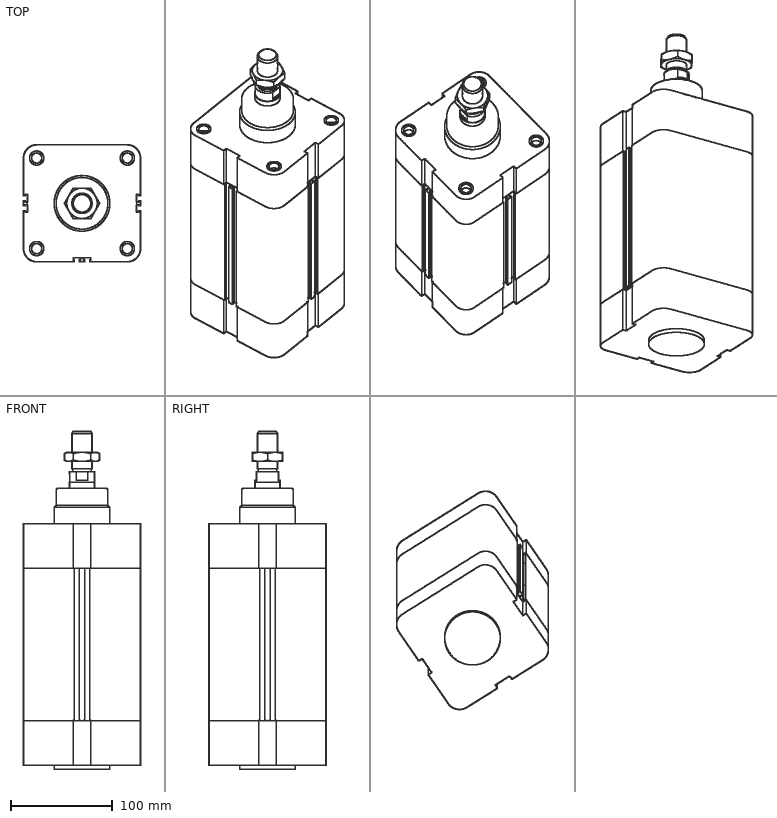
import cadquery as cq
import math

BODY_WIDTH = 115.5
CORNER_RADIUS = 13.3
CAP_LENGTH = 44.0
BARREL_LENGTH = 150.2

BOSS_DIAMETER = 55.0
REAR_BOSS_HEIGHT = 4.0
FRONT_BOSS_HEIGHT = 16.0
NECK_DIAMETER = 51.0
NECK_TOP_HEIGHT = 35.0
NECK_ROUND = 2.0
BOSS_CHAMFER = (BOSS_DIAMETER - NECK_DIAMETER) / 2

GROOVE_ANGLES = (0, 90, 180)
GROOVE_WIDTH = 17.0
GROOVE_DEPTH = 4.0
GROOVE_LIP = 1.0
LIP_THICKNESS = 2.0
RIB_HEAD_WIDTH = 5.0
RIB_STEM_WIDTH = 3.0

HOLE_OFFSET = 44.5
HOLE_DIAMETER = 10.0
HOLE_DEPTH = 6.5
DRILL_POINT_ANGLE = 118
COUNTERBORE_DIAMETER = 14.0
COUNTERBORE_DEPTH = 0.3

ROD_TIP_Z = 333.0
ROD_DIAMETER = 25.0
SHOULDER_DIAMETER = 24.5
THREAD_DIAMETER = 20.0
UNDERCUT_DIAMETER = 18.5
TIP_CHAMFER_RADIAL = 1.3
TIP_CHAMFER_LENGTH = 2.3
THREAD_LENGTH = 36.5
UNDERCUT_LENGTH = 3.0
SHOULDER_LENGTH = 10.3
SHOULDER_STEP_LENGTH = 0.3
FLAT_LENGTH = 8.5
FLATS_ACROSS = 22.0

NUT_ACROSS_FLATS = 30.0
NUT_HEIGHT = 9.0
NUT_TOP_FROM_TIP = 20.5
NUT_CHAMFER_DIAMETER = 30.0
NUT_CHAMFER_ANGLE = 30

BODY_BOTTOM_Z = REAR_BOSS_HEIGHT
BARREL_BOTTOM_Z = BODY_BOTTOM_Z + CAP_LENGTH
BARREL_TOP_Z = BARREL_BOTTOM_Z + BARREL_LENGTH
BODY_TOP_Z = BARREL_TOP_Z + CAP_LENGTH
THREAD_BOTTOM_Z = ROD_TIP_Z - THREAD_LENGTH
SHOULDER_TOP_Z = THREAD_BOTTOM_Z - UNDERCUT_LENGTH
SHOULDER_BOTTOM_Z = SHOULDER_TOP_Z - SHOULDER_LENGTH
NUT_BOTTOM_Z = ROD_TIP_Z - NUT_TOP_FROM_TIP - NUT_HEIGHT


def cylinder(diameter, bottom_z, height):
    return cq.Workplane("XY").workplane(offset=bottom_z).circle(diameter / 2).extrude(height)


def rounded_block(bottom_z, height):
    block = cq.Workplane("XY").workplane(offset=bottom_z).rect(BODY_WIDTH, BODY_WIDTH).extrude(height)
    return block.edges("|Z").fillet(CORNER_RADIUS)


def side_strip(outer_depth, inner_depth, width, bottom_z, height):
    """Upright strip on the +X side, between two depths below the side face."""
    middle_x = (BODY_WIDTH - outer_depth - inner_depth) / 2
    return (
        cq.Workplane("XY")
        .workplane(offset=bottom_z)
        .center(middle_x, 0)
        .rect(inner_depth - outer_depth, width)
        .extrude(height)
    )


def plain_groove(bottom_z, height):
    return side_strip(0, GROOVE_DEPTH, GROOVE_WIDTH, bottom_z, height)


def t_groove(bottom_z, height):
    """Groove with overhanging lips, leaving a T-shaped rib along its middle."""
    mouth = side_strip(0, LIP_THICKNESS, GROOVE_WIDTH - 2 * GROOVE_LIP, bottom_z, height)
    pocket = side_strip(LIP_THICKNESS, GROOVE_DEPTH, GROOVE_WIDTH, bottom_z, height)
    rib_head = side_strip(0, LIP_THICKNESS, RIB_HEAD_WIDTH, bottom_z, height)
    rib_stem = side_strip(LIP_THICKNESS, GROOVE_DEPTH, RIB_STEM_WIDTH, bottom_z, height)
    return mouth.union(pocket).cut(rib_head).cut(rib_stem)


def cut_on_grooved_sides(block, groove):
    for angle in GROOVE_ANGLES:
        block = block.cut(groove.rotate((0, 0, 0), (0, 0, 1), -angle))
    return block


def mounting_hole():
    """Blind hole with a drill point and counterbore, opening upward at Z = 0."""
    radius = HOLE_DIAMETER / 2
    point_depth = radius / math.tan(math.radians(DRILL_POINT_ANGLE / 2))
    return (
        cq.Workplane("XZ")
        .moveTo(0, 0)
        .lineTo(COUNTERBORE_DIAMETER / 2, 0)
        .lineTo(COUNTERBORE_DIAMETER / 2, -COUNTERBORE_DEPTH)
        .lineTo(radius, -COUNTERBORE_DEPTH)
        .lineTo(radius, -HOLE_DEPTH)
        .lineTo(0, -HOLE_DEPTH - point_depth)
        .close()
        .revolve(360, (0, 0, 0), (0, 1, 0))
    )


def grooved_cap(bottom_z):
    groove = plain_groove(bottom_z, CAP_LENGTH)
    return cut_on_grooved_sides(rounded_block(bottom_z, CAP_LENGTH), groove)


def make_barrel():
    groove = t_groove(BARREL_BOTTOM_Z, BARREL_LENGTH)
    return cut_on_grooved_sides(rounded_block(BARREL_BOTTOM_Z, BARREL_LENGTH), groove)


def make_rear_cap():
    boss = cylinder(BOSS_DIAMETER, 0, REAR_BOSS_HEIGHT)
    return grooved_cap(BODY_BOTTOM_Z).union(boss)


def front_boss():
    """Stepped round boss: a wide base, a chamfer up to the neck, and a neck with a rounded rim."""
    boss_radius = BOSS_DIAMETER / 2
    neck_radius = NECK_DIAMETER / 2
    boss_top_z = BODY_TOP_Z + FRONT_BOSS_HEIGHT
    chamfer_top_z = boss_top_z + BOSS_CHAMFER
    neck_top_z = BODY_TOP_Z + NECK_TOP_HEIGHT
    profile = (
        cq.Workplane("XZ")
        .moveTo(0, BODY_TOP_Z)
        .lineTo(boss_radius, BODY_TOP_Z)
        .lineTo(boss_radius, boss_top_z)
        .lineTo(neck_radius, chamfer_top_z)
        .lineTo(neck_radius, neck_top_z - NECK_ROUND)
        .radiusArc((neck_radius - NECK_ROUND, neck_top_z), -NECK_ROUND)
        .lineTo(0, neck_top_z)
        .close()
    )
    return profile.revolve(360, (0, 0, 0), (0, 1, 0))


def make_front_cap():
    cap = grooved_cap(BARREL_TOP_Z).union(front_boss())
    rod_bore = cylinder(ROD_DIAMETER, BARREL_TOP_Z, CAP_LENGTH + NECK_TOP_HEIGHT)
    cap = cap.cut(rod_bore)
    for x in (-HOLE_OFFSET, HOLE_OFFSET):
        for y in (-HOLE_OFFSET, HOLE_OFFSET):
            cap = cap.cut(mounting_hole().translate((x, y, BODY_TOP_Z)))
    return cap


def make_rod():
    rod_radius = ROD_DIAMETER / 2
    shoulder_radius = SHOULDER_DIAMETER / 2
    thread_radius = THREAD_DIAMETER / 2
    undercut_radius = UNDERCUT_DIAMETER / 2
    rod = (
        cq.Workplane("XZ")
        .moveTo(0, BARREL_TOP_Z)
        .lineTo(rod_radius, BARREL_TOP_Z)
        .lineTo(rod_radius, SHOULDER_BOTTOM_Z - SHOULDER_STEP_LENGTH)
        .lineTo(shoulder_radius, SHOULDER_BOTTOM_Z)
        .lineTo(shoulder_radius, SHOULDER_TOP_Z)
        .lineTo(undercut_radius, SHOULDER_TOP_Z)
        .lineTo(undercut_radius, THREAD_BOTTOM_Z)
        .lineTo(thread_radius, THREAD_BOTTOM_Z)
        .lineTo(thread_radius, ROD_TIP_Z - TIP_CHAMFER_LENGTH)
        .lineTo(thread_radius - TIP_CHAMFER_RADIAL, ROD_TIP_Z)
        .lineTo(0, ROD_TIP_Z)
        .close()
        .revolve(360, (0, 0, 0), (0, 1, 0))
    )
    for side in (-1, 1):
        flat_cutter = (
            cq.Workplane("XY")
            .workplane(offset=SHOULDER_TOP_Z - FLAT_LENGTH)
            .center(0, side * (FLATS_ACROSS + ROD_DIAMETER) / 2)
            .rect(ROD_DIAMETER, ROD_DIAMETER)
            .extrude(FLAT_LENGTH)
        )
        rod = rod.cut(flat_cutter)
    return rod


def make_nut():
    """Hexagon nut with corners on the X axis, conically chamfered at both ends."""
    across_corners = NUT_ACROSS_FLATS / math.cos(math.pi / 6)
    hexagon = (
        cq.Workplane("XY")
        .workplane(offset=NUT_BOTTOM_Z)
        .polygon(6, across_corners)
        .extrude(NUT_HEIGHT)
    )
    chamfer_radial = (across_corners - NUT_CHAMFER_DIAMETER) / 2
    chamfer_length = chamfer_radial * math.tan(math.radians(NUT_CHAMFER_ANGLE))
    envelope = (
        cylinder(across_corners, NUT_BOTTOM_Z, NUT_HEIGHT)
        .faces("<Z or >Z")
        .chamfer(chamfer_length, chamfer_radial)
    )
    bore = cylinder(THREAD_DIAMETER, NUT_BOTTOM_Z, NUT_HEIGHT)
    return hexagon.intersect(envelope).cut(bore)


rear_cap = make_rear_cap()
barrel = make_barrel()
front_cap = make_front_cap()
rod = make_rod()
nut = make_nut()

result = cq.Compound.makeCompound(
    [rear_cap.val(), barrel.val(), front_cap.val(), rod.val(), nut.val()]
)